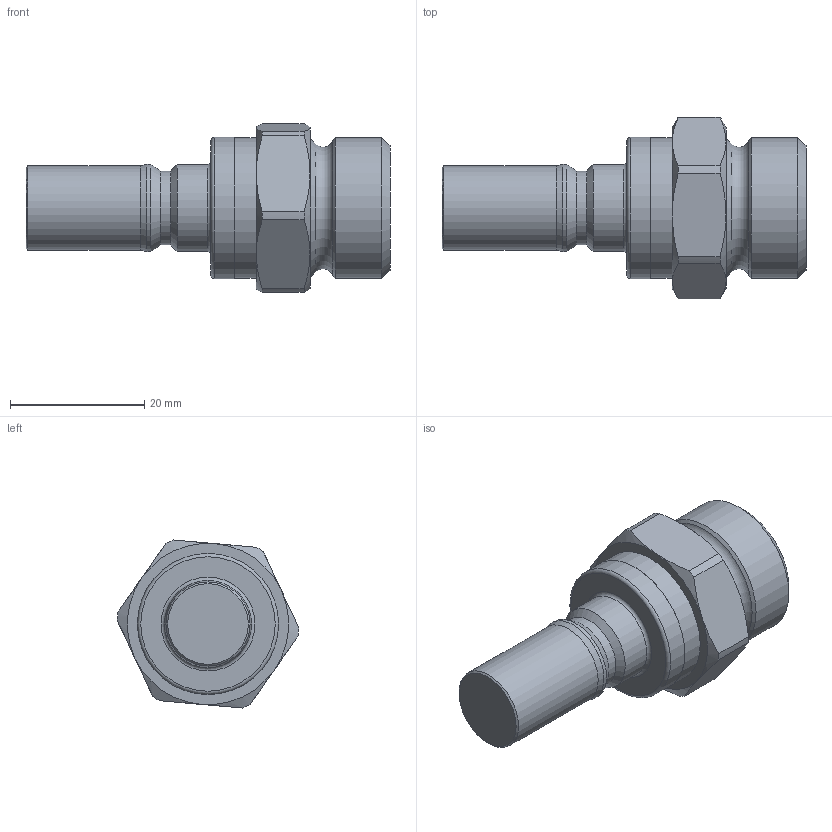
import cadquery as cq
import math


length = 54.15

stem_d = 12.5
stem_tip_chamfer = 0.25
band_d = 12.95
neck_d = 11.0
band_ramp_start = 17.0
band_start = 18.0
band_end = 18.55
neck_start = 20.0
neck_end = 21.5
root_fillet = 0.5

collar_start = 27.5
collar_step = 31.0
collar_front_d = 21.0
collar_rear_d = 20.95
collar_fillet = 0.5

hex_start = 34.25
hex_width = 8.0
hex_sides = 6
hex_flats = 24.0
hex_corner_d = 27.045
hex_turn = 5.0
hex_chamfer_angle = 30.0

relief_d = 18.1
relief_arc_r = 1.5
relief_center = 44.2
relief_entry_angle = 45.0
relief_exit_angle = 70.0
thread_start = 46.0
thread_d = 20.95
thread_chamfer = 1.25

hex_end = hex_start + hex_width


def revolve_about_x(profile):
    return profile.revolve(360, (0, 0, 0), (1, 0, 0))


def make_stem_and_collar():
    stem_r = stem_d / 2
    band_r = band_d / 2
    neck_r = neck_d / 2
    front_r = collar_front_d / 2
    rear_r = collar_rear_d / 2
    shoulder_start = neck_end + band_r - neck_r
    diagonal = math.sqrt(0.5)
    rim_mid = (
        collar_start + collar_fillet * (1 - diagonal),
        front_r - collar_fillet * (1 - diagonal),
    )
    root_mid = (
        collar_start - root_fillet + root_fillet * diagonal,
        band_r + root_fillet - root_fillet * diagonal,
    )
    profile = (
        cq.Workplane("XY")
        .moveTo(0, 0)
        .lineTo(0, stem_r - stem_tip_chamfer)
        .lineTo(stem_tip_chamfer, stem_r)
        .lineTo(band_ramp_start, stem_r)
        .lineTo(band_start, band_r)
        .lineTo(band_end, band_r)
        .lineTo(neck_start, neck_r)
        .lineTo(neck_end, neck_r)
        .lineTo(shoulder_start, band_r)
        .lineTo(collar_start - root_fillet, band_r)
        .threePointArc(root_mid, (collar_start, band_r + root_fillet))
        .lineTo(collar_start, front_r - collar_fillet)
        .threePointArc(rim_mid, (collar_start + collar_fillet, front_r))
        .lineTo(collar_step, front_r)
        .lineTo(collar_step, rear_r)
        .lineTo(hex_end, rear_r)
        .lineTo(hex_end, 0)
        .close()
    )
    return revolve_about_x(profile)


def make_hexagon():
    prism = (
        cq.Workplane("YZ", origin=(hex_start, 0, 0))
        .polygon(hex_sides, hex_flats / math.cos(math.pi / hex_sides))
        .extrude(hex_width)
        .rotate((0, 0, 0), (1, 0, 0), hex_turn)
    )
    face_r = hex_flats / 2
    corner_r = hex_corner_d / 2
    chamfer_depth = (corner_r - face_r) * math.tan(math.radians(hex_chamfer_angle))
    envelope = revolve_about_x(
        cq.Workplane("XY")
        .moveTo(hex_start, 0)
        .lineTo(hex_start, face_r)
        .lineTo(hex_start + chamfer_depth, corner_r)
        .lineTo(hex_end - chamfer_depth, corner_r)
        .lineTo(hex_end, face_r)
        .lineTo(hex_end, 0)
        .close()
    )
    return prism.intersect(envelope)


def make_relief_and_thread():
    thread_r = thread_d / 2
    arc_center_r = relief_d / 2 + relief_arc_r
    entry_angle = math.radians(relief_entry_angle)
    exit_angle = math.radians(relief_exit_angle)
    arc_start = (
        relief_center - relief_arc_r * math.sin(entry_angle),
        arc_center_r - relief_arc_r * math.cos(entry_angle),
    )
    arc_end = (
        relief_center + relief_arc_r * math.sin(exit_angle),
        arc_center_r - relief_arc_r * math.cos(exit_angle),
    )
    cone_r = arc_start[1] + (arc_start[0] - hex_end) * math.tan(entry_angle)
    profile = (
        cq.Workplane("XY")
        .moveTo(hex_end, 0)
        .lineTo(hex_end, cone_r)
        .lineTo(*arc_start)
        .threePointArc((relief_center, relief_d / 2), arc_end)
        .lineTo(thread_start, thread_r)
        .lineTo(length - thread_chamfer, thread_r)
        .lineTo(length, thread_r - thread_chamfer)
        .lineTo(length, 0)
        .close()
    )
    return revolve_about_x(profile)


result = make_stem_and_collar().union(make_hexagon()).union(make_relief_and_thread())